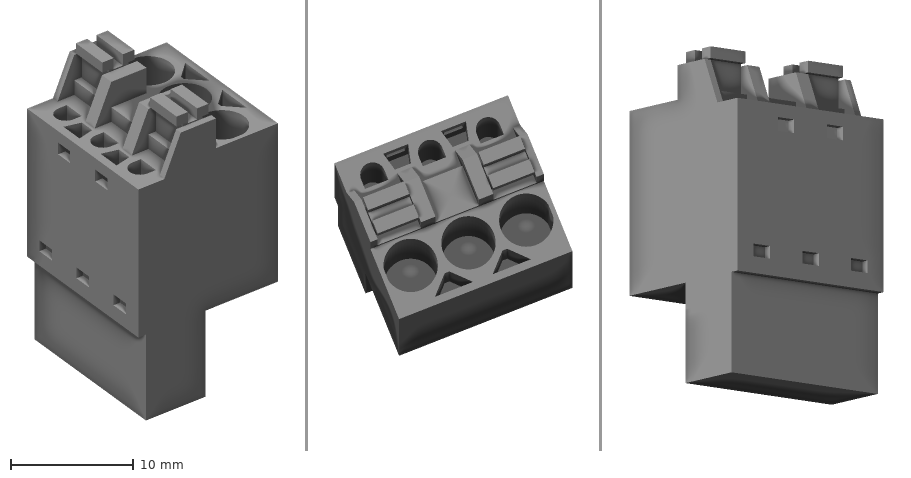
import cadquery as cq


pole_count = 3
width = 15.25
depth = 14.2
pole_pitch = width / pole_count
body_bottom = 8.35
front_top = 22.7
back_top = 23.7
pole_places = [(i - (pole_count - 1) / 2) * pole_pitch for i in range(pole_count)]
gap_places = [(i - (pole_count - 2) / 2) * pole_pitch for i in range(pole_count - 1)]

plug_front = 0.78
plug_back = 6.82

seat_front = 4.33
seat_back = 7.9
seat_top = 24.13
guide_top = 26.6
guide_foot = 2.63
guide_thickness = 1.28

conductor_radius = 2.22
conductor_y = 10.4
conductor_depth = 8.32
side_wall = 0.4

test_hole_radius = 1.03
test_hole_back = 2.9
test_hole_front = 1.03
test_hole_depth = 8.32

front_pocket_near_y = 0.75
front_pocket_far_y = 2.33
front_pocket_near_width = 2.2
front_pocket_far_width = 1.41
back_pocket_near_y = 12.03
back_pocket_far_y = 13.55
back_pocket_near_width = 0.42
back_pocket_far_width = 3.35
pocket_depth = 4.15

upper_window_width = 1.65
upper_window_height = 1.15
upper_window_bottom = 20.46
lower_window_width = 1.72
lower_window_height = 1.05
lower_window_bottom = 9.73
lower_window_depth = 0.67

hook_width = 2.77
hook_root_front = 8.12
hook_root_back = 10.18
hook_neck_y = 8.55
hook_neck_z = 7.2
hook_notch_z = 5.4
hook_barb_y = 7.95
hook_barb_z = 4.8
hook_tip_y = 8.43
hook_tip_z = 3.77
hook_bend_y = 9.62
hook_bend_z = 5.82
hook_curve_y = 9.18
hook_curve_z = 4.83

total_height = 27.73
lever_places = [pole_places[0], pole_places[-1]]
lever_width = 3.63
lever_y = 6.05
lever_head_length = 3.25
lever_stem_length = 2.02
lever_head_bottom = 26.75
lever_slot_length = 0.95
lever_slot_bottom = 26.65


def box(x_middle, x_size, y_from, y_to, z_from, z_to):
    """Box centred on x_middle, between two limits in Y and in Z."""
    return (
        cq.Workplane("XY")
        .box(x_size, y_to - y_from, z_to - z_from, centered=(True, False, False))
        .translate((x_middle, y_from, z_from))
    )


def extrude_across(outline, x_middle, x_size):
    """Extrude a closed YZ outline over x_size, centred on x_middle."""
    return outline.extrude(x_size / 2, both=True).translate((x_middle, 0, 0))


def guide_wall(x_middle, thickness):
    """Upright wall with a sloping front edge, standing on the block."""
    outline = (
        cq.Workplane("YZ")
        .moveTo(guide_foot, front_top)
        .lineTo(seat_front, guide_top)
        .lineTo(seat_back, guide_top)
        .lineTo(seat_back, front_top)
        .close()
    )
    return extrude_across(outline, x_middle, thickness)


def guide_walls():
    """One full wall on each line between poles and half a wall at each end."""
    walls = guide_wall(gap_places[0], guide_thickness)
    for x in gap_places[1:]:
        walls = walls.union(guide_wall(x, guide_thickness))
    end_thickness = guide_thickness / 2
    end_x = (width - end_thickness) / 2
    for x in (-end_x, end_x):
        walls = walls.union(guide_wall(x, end_thickness))
    return walls


def conductor_holes():
    """Round holes kept inside the thin side walls."""
    bottom = back_top - conductor_depth
    holes = (
        cq.Workplane("XY", origin=(0, 0, bottom))
        .pushPoints([(x, conductor_y) for x in pole_places])
        .circle(conductor_radius)
        .extrude(conductor_depth)
    )
    return holes.intersect(box(0, width - 2 * side_wall, 0, depth, bottom, back_top))


def test_hole(x):
    """D-shaped hole: straight at the back, rounded at the front."""
    arc_start = test_hole_front + test_hole_radius
    return (
        cq.Workplane("XY", origin=(x, 0, front_top))
        .moveTo(-test_hole_radius, test_hole_back)
        .lineTo(-test_hole_radius, arc_start)
        .threePointArc((0, test_hole_front), (test_hole_radius, arc_start))
        .lineTo(test_hole_radius, test_hole_back)
        .close()
        .extrude(-test_hole_depth)
    )


def tapered_pocket(x, top, near_y, near_width, far_y, far_width):
    """Pocket whose width changes evenly from near_y to far_y."""
    return (
        cq.Workplane("XY", origin=(x, 0, top))
        .moveTo(-near_width / 2, near_y)
        .lineTo(near_width / 2, near_y)
        .lineTo(far_width / 2, far_y)
        .lineTo(-far_width / 2, far_y)
        .close()
        .extrude(-pocket_depth)
    )


def gap_pockets(x):
    """Front and back pockets between two poles, with the window into the front one."""
    front = tapered_pocket(
        x, front_top, front_pocket_near_y, front_pocket_near_width, front_pocket_far_y, front_pocket_far_width
    )
    back = tapered_pocket(
        x, back_top, back_pocket_near_y, back_pocket_near_width, back_pocket_far_y, back_pocket_far_width
    )
    window_top = upper_window_bottom + upper_window_height
    window = box(x, upper_window_width, 0, front_pocket_near_y, upper_window_bottom, window_top)
    return front.union(window).union(back)


def lower_window(x):
    """Shallow rectangular recess in the front face."""
    top = lower_window_bottom + lower_window_height
    return box(x, lower_window_width, 0, lower_window_depth, lower_window_bottom, top)


def latch_hook():
    """Hook with a barb that faces the plug."""
    outline = (
        cq.Workplane("YZ")
        .moveTo(hook_root_back, body_bottom)
        .lineTo(hook_root_front, body_bottom)
        .lineTo(hook_neck_y, hook_neck_z)
        .lineTo(hook_neck_y, hook_notch_z)
        .lineTo(hook_barb_y, hook_barb_z)
        .lineTo(hook_tip_y, hook_tip_z)
        .threePointArc((hook_curve_y, hook_curve_z), (hook_bend_y, hook_bend_z))
        .close()
    )
    return extrude_across(outline, 0, hook_width)


def make_housing():
    body = box(0, width, 0, depth, body_bottom, front_top)
    body = body.union(box(0, width, seat_back, depth, front_top, back_top))
    body = body.union(box(0, width, seat_front, seat_back, front_top, seat_top))
    body = body.union(box(0, width, plug_front, plug_back, 0, body_bottom))
    body = body.union(guide_walls())
    body = body.union(latch_hook())
    body = body.cut(conductor_holes())
    for x in pole_places:
        body = body.cut(test_hole(x))
        body = body.cut(lower_window(x))
    for x in gap_places:
        body = body.cut(gap_pockets(x))
    return body


def make_lever(x):
    """T-shaped lever resting on its seat, with a slot across the head."""

    def slab(length, bottom, top):
        return box(x, lever_width, lever_y - length / 2, lever_y + length / 2, bottom, top)

    stem = slab(lever_stem_length, seat_top, lever_head_bottom)
    head = slab(lever_head_length, lever_head_bottom, total_height)
    slot = slab(lever_slot_length, lever_slot_bottom, total_height)
    return stem.union(head).cut(slot)


housing = make_housing()
levers = [make_lever(x) for x in lever_places]

result = cq.Compound.makeCompound([housing.val(), *[lever.val() for lever in levers]])